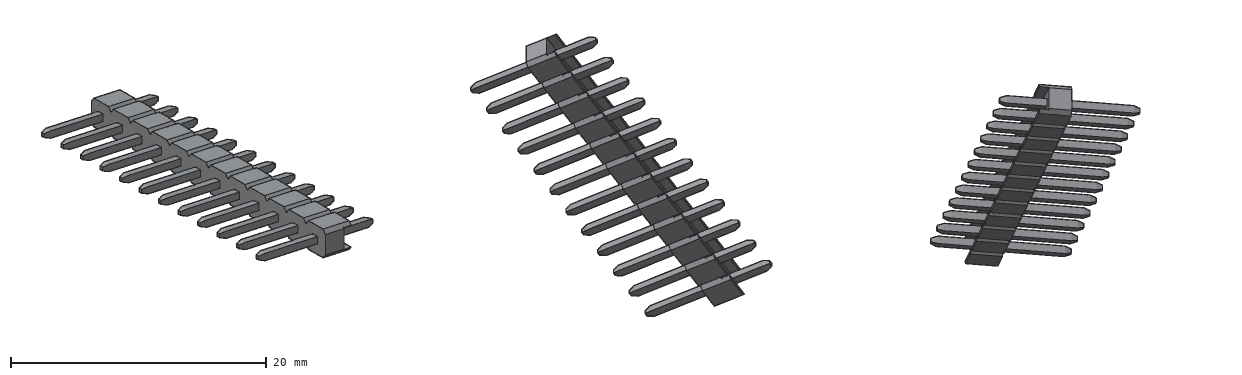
import cadquery as cq

pin_count = 12
body_length = 30.48
pitch = body_length / pin_count
body_height = 2.5
body_depth = 2.55

corner_width = 0.3
corner_height = 0.37

channel_depth = 0.73
flange_thickness = 0.3

pin_width = 0.65
pin_length = 11.2
pin_front_reach = 5.65
pin_offset = -0.1
tip_length = 0.52
tip_width = 0.35


def segment_center(index):
    return (index - (pin_count - 1) / 2) * pitch


def body_outline():
    """Front outline of the body: flat lands joined by sloped corners."""
    half_height = body_height / 2
    half_land = pitch / 2 - corner_width
    shoulder = half_height - corner_height
    top_edge = [(-body_length / 2, shoulder)]
    for index in range(pin_count):
        center = segment_center(index)
        top_edge.append((center - half_land, half_height))
        top_edge.append((center + half_land, half_height))
        top_edge.append((center + pitch / 2, shoulder))
    bottom_edge = [(x, -z) for x, z in reversed(top_edge)]
    return top_edge + bottom_edge


def make_body():
    body = cq.Workplane("XZ").polyline(body_outline()).close().extrude(-body_depth)
    channel_height = body_height - 2 * flange_thickness
    channel = (
        cq.Workplane("XY")
        .box(body_length, channel_depth, channel_height)
        .translate((0, body_depth - channel_depth / 2, 0))
    )
    return body.cut(channel)


def make_tip(base_y, direction):
    """Tapered pin end growing from base_y along +Y (direction 1) or -Y (-1)."""
    return (
        cq.Workplane(cq.Plane((0, base_y, 0), xDir=(1, 0, 0), normal=(0, direction, 0)))
        .rect(pin_width, pin_width)
        .workplane(offset=tip_length)
        .rect(tip_width, tip_width)
        .loft(ruled=True)
    )


def make_pin():
    shank_front = -pin_front_reach + tip_length
    shank_length = pin_length - 2 * tip_length
    shank_back = shank_front + shank_length
    shank = (
        cq.Workplane("XY")
        .box(pin_width, shank_length, pin_width)
        .translate((0, shank_front + shank_length / 2, 0))
    )
    return shank.union(make_tip(shank_front, -1)).union(make_tip(shank_back, 1))


result = make_body()
pin = make_pin()
for pin_index in range(pin_count):
    result = result.union(pin.translate((segment_center(pin_index) + pin_offset, 0, 0)))